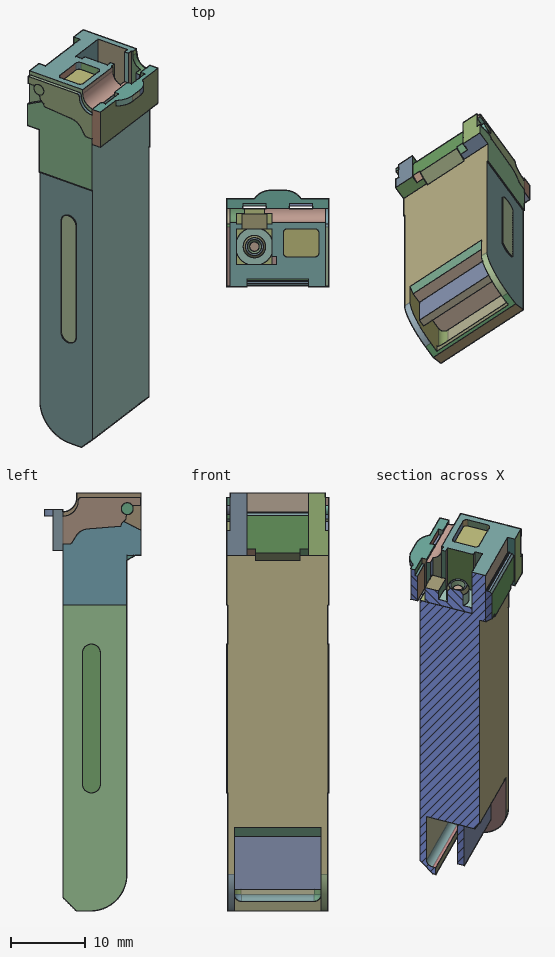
import cadquery as cq
import math

HEIGHT = 55.9
SHELL_WIDTH = 13.4
HEAD_WIDTH = 13.7
BODY_FRONT_Y = 1.9
BACK_Y = 10.47
SHOULDER_Z = 40.9
HEAD_BOTTOM_Z = 47.55
FOOT_RADIUS = 4.9
FOOT_CHAMFER = 1.82

SCOOP_RADIUS = 1.84
SCOOP_BOTTOM_Z = 53.4

RAIL_Y = 6.65
RAIL_WIDTH = 2.4
RAIL_BOTTOM_Z = 15.8
RAIL_TOP_Z = 35.7

PORT_X = -3.12
PORT_Y = 5.4
PORT_SIZE = 4.75
PORT_FLOOR_Z = 48.5
KEY_WIDTH = 3.33
KEY_BACK_Y = 9.75
WIDE_NOTCH_FRONT_Y = 8.4
WIDE_NOTCH_BACK_Y = 9.85
BACK_NOTCH_WIDTH = 2.65
CORNER_NOTCH_WIDTH = 0.58
CORNER_NOTCH_LENGTH = 1.05

LABEL_WIDTH = 4.75
LABEL_LENGTH = 3.75
LABEL_DEPTH = 1.1
LABEL_RADIUS = 0.5

SLIDER_WIDTH = 8.2
SLIDER_FRONT_Y = 0.15
SLIDER_BACK_Y = 1.05
SLIDER_TOP_Z = 53.2
SLIDER_TOP_CHAMFER = 0.3
SLIDER_RIB_SIZE = 0.15
SLIDER_SLOPE_Z = 48.4
LUG_WIDTH = 6.0
LUG_FRONT_Z = 47.9
LUG_TIP_Z = 46.9

BAY_WIDTH = 11.6
BAY_TOP_Z = 11.2
BAY_BACK_Y = 8.2
BAY_LIP_DEPTH = 0.72
BOARD_FRONT_Y = 4.1
BOARD_THICKNESS = 1.0
BOARD_BOTTOM_Z = 2.9
BOARD_TOP_Z = 9.95
RELIEF_BOTTOM_Z = 1.3
RELIEF_DEPTH = 1.3
RELIEF_RADIUS = 0.95
RELIEF_FLOOR_RADIUS = 0.9

CHEEK_THICKNESS = 0.48
CHEEK_FRONT_Y = 0.1
CHEEK_TOP_Z = 55.3
CHEEK_STEP_Z = 54.2
CHEEK_SCOOP_RADIUS = 2.05
CHEEK_CORNER_RADIUS = 0.42
CHEEK_BACK_BOTTOM_Z = 49.05
LEDGE_FRONT_Z = 50.9
PIVOT_Y = 1.86
PIVOT_Z = 53.8
PIVOT_RADIUS = 0.8
PLATE_THICKNESS = 1.33
PLATE_BOTTOM_Z = 48.2
PLATE_TOP_Z = 53.7
SLOT_X = 3.1
SLOT_WIDTH = 3.1
SLOT_DEPTH = 0.33
SLOT_MOUTH_DEPTH = 0.68
SLOT_MOUTH_HEIGHT = 1.0
TAB_THICKNESS = 0.9
TAB_REACH = 1.15
TAB_WIDTH = 6.3
TAB_FLAT_WIDTH = 1.8

FLANGE_RADIUS = 2.54
FLANGE_THICKNESS = 1.0
TUBE_RADIUS = 1.5
TUBE_LIP_RADIUS = 1.2
TUBE_MOUTH_RADIUS = 0.95
TUBE_BORE_RADIUS = 0.63
TUBE_TOP_Z = 52.0
TUBE_TAPER = 0.6
KEY_TOP_Z = 51.0

HEAD_HALF = HEAD_WIDTH / 2
SCOOP_FRONT_Y = BACK_Y - SCOOP_RADIUS
SCOOP_CENTER_Z = SCOOP_BOTTOM_Z + SCOOP_RADIUS
PORT_LEFT_X = PORT_X - PORT_SIZE / 2
PORT_RIGHT_X = PORT_X + PORT_SIZE / 2
PORT_FRONT_Y = PORT_Y - PORT_SIZE / 2
PORT_BACK_Y = PORT_Y + PORT_SIZE / 2
KEY_LEFT_X = PORT_X - KEY_WIDTH / 2
BOARD_BACK_Y = BOARD_FRONT_Y + BOARD_THICKNESS
COS45 = math.sqrt(0.5)


def block(x0, x1, y0, y1, z0, z1):
    """Box between two opposite corners."""
    return cq.Workplane("XY").box(x1 - x0, y1 - y0, z1 - z0, centered=False).translate((x0, y0, z0))


def centered_block(width, y0, y1, z0, z1):
    """Box that is symmetric about X = 0."""
    return block(-width / 2, width / 2, y0, y1, z0, z1)


def side_profile(x):
    """Sketch plane at X = x whose local axes are Y and Z; it extrudes toward +X."""
    return cq.Workplane("YZ", origin=(x, 0, 0))


def mirrored_pair(shape):
    """The shape and its copy on the other side of X = 0."""
    return shape, shape.mirror("YZ")


def lower_cheek_edge(sketch):
    """Draw the lower edge of a latch cheek, from below the pivot to the back."""
    return (
        sketch.lineTo(2.05, 52.4)
        .lineTo(2.6, 51.85)
        .lineTo(2.75, 51.45)
        .lineTo(7.05, 51.1)
        .threePointArc((8.05, 50.8), (8.7, 50.15))
        .lineTo(9.2, 49.35)
        .threePointArc((9.4, 49.13), (9.65, CHEEK_BACK_BOTTOM_Z))
        .lineTo(BACK_Y, CHEEK_BACK_BOTTOM_Z)
    )


def pivot_boss():
    """Round boss on the -X side that the latch cheek turns on."""
    boss = side_profile(-HEAD_HALF).center(PIVOT_Y, PIVOT_Z).circle(PIVOT_RADIUS)
    return boss.extrude(CHEEK_THICKNESS)


def cheek_recess():
    """Shallow recess on the -X side of the head that takes a latch cheek."""
    ledge_back = (2.3, 52.07)
    sketch = side_profile(-HEAD_HALF).moveTo(0, LEDGE_FRONT_Z).lineTo(*ledge_back)
    sketch = lower_cheek_edge(sketch).lineTo(BACK_Y, HEIGHT).lineTo(0, HEIGHT).close()
    return sketch.extrude(CHEEK_THICKNESS).cut(pivot_boss())


def foot_and_shell():
    """Long lower body with a round front and a chamfered back at the foot."""
    arc_center_y = BODY_FRONT_Y + FOOT_RADIUS
    arc_mid = (arc_center_y - FOOT_RADIUS * COS45, FOOT_RADIUS * (1 - COS45))
    sketch = (
        side_profile(-SHELL_WIDTH / 2)
        .moveTo(BODY_FRONT_Y, SHOULDER_Z)
        .lineTo(BODY_FRONT_Y, FOOT_RADIUS)
        .threePointArc(arc_mid, (arc_center_y, 0))
        .lineTo(BACK_Y - FOOT_CHAMFER, 0)
        .lineTo(BACK_Y, FOOT_CHAMFER)
        .lineTo(BACK_Y, SHOULDER_Z)
        .close()
    )
    return sketch.extrude(SHELL_WIDTH)


def head():
    """Wide upper body with the front overhang and the scooped back edge."""
    scoop_mid = (BACK_Y - SCOOP_RADIUS * COS45, SCOOP_CENTER_Z - SCOOP_RADIUS * COS45)
    sketch = (
        side_profile(-HEAD_HALF)
        .moveTo(BODY_FRONT_Y, SHOULDER_Z)
        .lineTo(BODY_FRONT_Y, HEAD_BOTTOM_Z)
        .lineTo(0, HEAD_BOTTOM_Z)
        .lineTo(0, HEIGHT)
        .lineTo(SCOOP_FRONT_Y, HEIGHT)
        .lineTo(SCOOP_FRONT_Y, SCOOP_CENTER_Z)
        .threePointArc(scoop_mid, (BACK_Y, SCOOP_BOTTOM_Z))
        .lineTo(BACK_Y, SHOULDER_Z)
        .close()
    )
    return sketch.extrude(HEAD_WIDTH)


def side_rails():
    """Long round-ended rail that stands out of both sides of the body."""
    rail_length = RAIL_TOP_Z - RAIL_BOTTOM_Z
    rail_center_z = (RAIL_TOP_Z + RAIL_BOTTOM_Z) / 2
    sketch = side_profile(-HEAD_HALF).center(RAIL_Y, rail_center_z)
    return sketch.slot2D(rail_length, RAIL_WIDTH, 90).extrude(HEAD_WIDTH)


def port_cutter():
    """Connector pocket with its corner notch and the stepped notches behind it."""
    pocket = block(PORT_LEFT_X, PORT_RIGHT_X, PORT_FRONT_Y, PORT_BACK_Y, PORT_FLOOR_Z, HEIGHT)
    corner_notch = block(
        PORT_RIGHT_X, PORT_RIGHT_X + CORNER_NOTCH_WIDTH,
        PORT_FRONT_Y, PORT_FRONT_Y + CORNER_NOTCH_LENGTH,
        PORT_FLOOR_Z + FLANGE_THICKNESS, HEIGHT,
    )
    key_slot = block(
        KEY_LEFT_X, KEY_LEFT_X + KEY_WIDTH, PORT_BACK_Y, WIDE_NOTCH_BACK_Y, PORT_FLOOR_Z, HEIGHT
    )
    wide_notch = block(
        PORT_LEFT_X, PORT_RIGHT_X, WIDE_NOTCH_FRONT_Y, WIDE_NOTCH_BACK_Y, PORT_FLOOR_Z, HEIGHT
    )
    back_notch = block(
        PORT_X - BACK_NOTCH_WIDTH / 2, PORT_X + BACK_NOTCH_WIDTH / 2,
        WIDE_NOTCH_BACK_Y, BACK_Y, PORT_FLOOR_Z, HEIGHT,
    )
    return pocket.union(corner_notch).union(key_slot).union(wide_notch).union(back_notch)


def label_pocket():
    """Shallow round-cornered pocket that mirrors the connector pocket in X."""
    pocket = block(
        -PORT_X - LABEL_WIDTH / 2, -PORT_X + LABEL_WIDTH / 2,
        PORT_BACK_Y - LABEL_LENGTH, PORT_BACK_Y,
        HEIGHT - LABEL_DEPTH, HEIGHT,
    )
    return pocket.edges("|Z").fillet(LABEL_RADIUS)


def slider_channel():
    """Channel in the head front, with room for the lug at its lower end."""
    channel = centered_block(SLIDER_WIDTH, 0, SLIDER_BACK_Y, HEAD_BOTTOM_Z, HEIGHT)
    lug_room = centered_block(LUG_WIDTH, 0, BODY_FRONT_Y, LUG_TIP_Z, SLIDER_SLOPE_Z)
    return channel.union(lug_room)


def board_bay():
    """Bay at the foot, open to the front and below, with a relief in its back wall."""
    bay = (
        side_profile(-BAY_WIDTH / 2)
        .moveTo(BODY_FRONT_Y, 0)
        .lineTo(BODY_FRONT_Y, BAY_TOP_Z)
        .lineTo(BODY_FRONT_Y + BAY_LIP_DEPTH, BOARD_TOP_Z)
        .lineTo(BAY_BACK_Y, BOARD_TOP_Z)
        .lineTo(BAY_BACK_Y, 0)
        .close()
        .extrude(BAY_WIDTH)
    )
    relief = centered_block(
        BAY_WIDTH, BOARD_BACK_Y, BAY_BACK_Y + RELIEF_DEPTH, RELIEF_BOTTOM_Z, BOARD_TOP_Z
    )
    relief = relief.faces("<Z").edges("|Y").fillet(RELIEF_RADIUS)
    relief = relief.faces(">Y").edges("<Z").fillet(RELIEF_FLOOR_RADIUS)
    return bay.union(relief)


def make_housing():
    housing = foot_and_shell().union(head()).union(side_rails())
    for recess in mirrored_pair(cheek_recess()):
        housing = housing.cut(recess)
    for cutter in (port_cutter(), label_pocket(), slider_channel(), board_bay()):
        housing = housing.cut(cutter)
    return housing


def latch_cheek():
    """Thin side cheek on the -X side, notched around the pivot boss."""
    scoop_front_y = BACK_Y - CHEEK_SCOOP_RADIUS
    scoop_bottom_z = PLATE_TOP_Z - TAB_THICKNESS
    scoop_center_z = scoop_bottom_z + CHEEK_SCOOP_RADIUS
    scoop_mid = (BACK_Y - CHEEK_SCOOP_RADIUS * COS45, scoop_center_z - CHEEK_SCOOP_RADIUS * COS45)
    corner_y = scoop_front_y - CHEEK_CORNER_RADIUS
    corner_z = CHEEK_TOP_Z - CHEEK_CORNER_RADIUS
    corner_mid = (corner_y + CHEEK_CORNER_RADIUS * COS45, corner_z + CHEEK_CORNER_RADIUS * COS45)
    sketch = (
        side_profile(-HEAD_HALF)
        .moveTo(CHEEK_FRONT_Y, CHEEK_TOP_Z)
        .lineTo(CHEEK_FRONT_Y, CHEEK_STEP_Z)
        .lineTo(PIVOT_Y, CHEEK_STEP_Z)
        .lineTo(PIVOT_Y, PIVOT_Z)
    )
    sketch = (
        lower_cheek_edge(sketch)
        .lineTo(BACK_Y, scoop_bottom_z)
        .threePointArc(scoop_mid, (scoop_front_y, scoop_center_z))
        .lineTo(scoop_front_y, corner_z)
        .threePointArc(corner_mid, (corner_y, CHEEK_TOP_Z))
        .close()
    )
    return sketch.extrude(CHEEK_THICKNESS).cut(pivot_boss())


def thumb_tab():
    """Rounded tab that stands out of the back plate at its top."""
    root_y = BACK_Y + PLATE_THICKNESS
    tip_y = root_y + TAB_REACH
    half_root = TAB_WIDTH / 2
    half_flat = TAB_FLAT_WIDTH / 2
    run = half_root - half_flat
    radius = (run**2 + TAB_REACH**2) / (2 * TAB_REACH)
    half_sweep = math.asin(run / radius) / 2
    mid_x = half_flat + radius * math.sin(half_sweep)
    mid_y = tip_y - radius * (1 - math.cos(half_sweep))
    return (
        cq.Workplane("XY", origin=(0, 0, PLATE_TOP_Z - TAB_THICKNESS))
        .moveTo(-half_root, root_y)
        .threePointArc((-mid_x, mid_y), (-half_flat, tip_y))
        .lineTo(half_flat, tip_y)
        .threePointArc((mid_x, mid_y), (half_root, root_y))
        .close()
        .extrude(TAB_THICKNESS)
    )


def plate_slot(x):
    """Upright slot in the inner face of the back plate, deeper at its mouth."""
    x0 = x - SLOT_WIDTH / 2
    x1 = x + SLOT_WIDTH / 2
    slot = block(x0, x1, BACK_Y, BACK_Y + SLOT_DEPTH, PLATE_BOTTOM_Z, PLATE_TOP_Z)
    mouth = block(
        x0, x1, BACK_Y, BACK_Y + SLOT_MOUTH_DEPTH, PLATE_TOP_Z - SLOT_MOUTH_HEIGHT, PLATE_TOP_Z
    )
    return slot.union(mouth)


def make_latch():
    latch = centered_block(HEAD_WIDTH, BACK_Y, BACK_Y + PLATE_THICKNESS, PLATE_BOTTOM_Z, PLATE_TOP_Z)
    for x in (-SLOT_X, SLOT_X):
        latch = latch.cut(plate_slot(x))
    latch = latch.union(thumb_tab())
    for cheek in mirrored_pair(latch_cheek()):
        latch = latch.union(cheek, clean=False)
    return latch


def make_slider():
    plate = (
        side_profile(-SLIDER_WIDTH / 2)
        .moveTo(SLIDER_FRONT_Y, SLIDER_SLOPE_Z)
        .lineTo(SLIDER_FRONT_Y, SLIDER_TOP_Z - SLIDER_TOP_CHAMFER)
        .lineTo(SLIDER_FRONT_Y + SLIDER_TOP_CHAMFER, SLIDER_TOP_Z)
        .lineTo(SLIDER_BACK_Y, SLIDER_TOP_Z)
        .lineTo(SLIDER_BACK_Y, HEAD_BOTTOM_Z)
        .close()
        .extrude(SLIDER_WIDTH)
    )
    lug = (
        side_profile(-LUG_WIDTH / 2)
        .moveTo(SLIDER_FRONT_Y, LUG_FRONT_Z)
        .lineTo(SLIDER_FRONT_Y, SLIDER_SLOPE_Z)
        .lineTo(BODY_FRONT_Y, SLIDER_SLOPE_Z)
        .lineTo(BODY_FRONT_Y, LUG_TIP_Z)
        .close()
        .extrude(LUG_WIDTH)
    )
    rib_back_y = SLIDER_BACK_Y - SLIDER_RIB_SIZE
    rib = centered_block(
        SLIDER_WIDTH, rib_back_y - SLIDER_RIB_SIZE, rib_back_y,
        SLIDER_TOP_Z, SLIDER_TOP_Z + SLIDER_RIB_SIZE,
    )
    return plate.union(lug).union(rib)


def make_connector():
    """Flange on the pocket floor with a tapered, funnel-mouthed tube and a key block."""
    flange = cq.Workplane("XY", origin=(PORT_X, PORT_Y, PORT_FLOOR_Z)).rect(PORT_SIZE, PORT_SIZE)
    flange = flange.extrude(FLANGE_THICKNESS)
    disc = cq.Workplane("XY", origin=(PORT_X, PORT_Y, PORT_FLOOR_Z)).circle(FLANGE_RADIUS)
    flange = flange.intersect(disc.extrude(FLANGE_THICKNESS))
    key = block(
        KEY_LEFT_X, KEY_LEFT_X + KEY_WIDTH, PORT_BACK_Y, KEY_BACK_Y, PORT_FLOOR_Z, KEY_TOP_Z
    )
    funnel_z = TUBE_TOP_Z - TUBE_TAPER
    tube = (
        cq.Workplane("XZ")
        .moveTo(0, PORT_FLOOR_Z)
        .lineTo(TUBE_RADIUS, PORT_FLOOR_Z)
        .lineTo(TUBE_RADIUS, funnel_z)
        .lineTo(TUBE_LIP_RADIUS, TUBE_TOP_Z)
        .lineTo(TUBE_MOUTH_RADIUS, TUBE_TOP_Z)
        .lineTo(TUBE_BORE_RADIUS, funnel_z)
        .lineTo(0, funnel_z)
        .close()
        .revolve(360, (0, 0, 0), (0, 1, 0))
        .translate((PORT_X, PORT_Y, 0))
    )
    return flange.union(key).union(tube)


def make_board():
    return centered_block(BAY_WIDTH, BOARD_FRONT_Y, BOARD_BACK_Y, BOARD_BOTTOM_Z, BOARD_TOP_Z)


housing = make_housing()
latch = make_latch()
slider = make_slider()
connector = make_connector()
board = make_board()

bodies = (housing, latch, slider, connector, board)
result = cq.Compound.makeCompound([body.solids().val() for body in bodies])